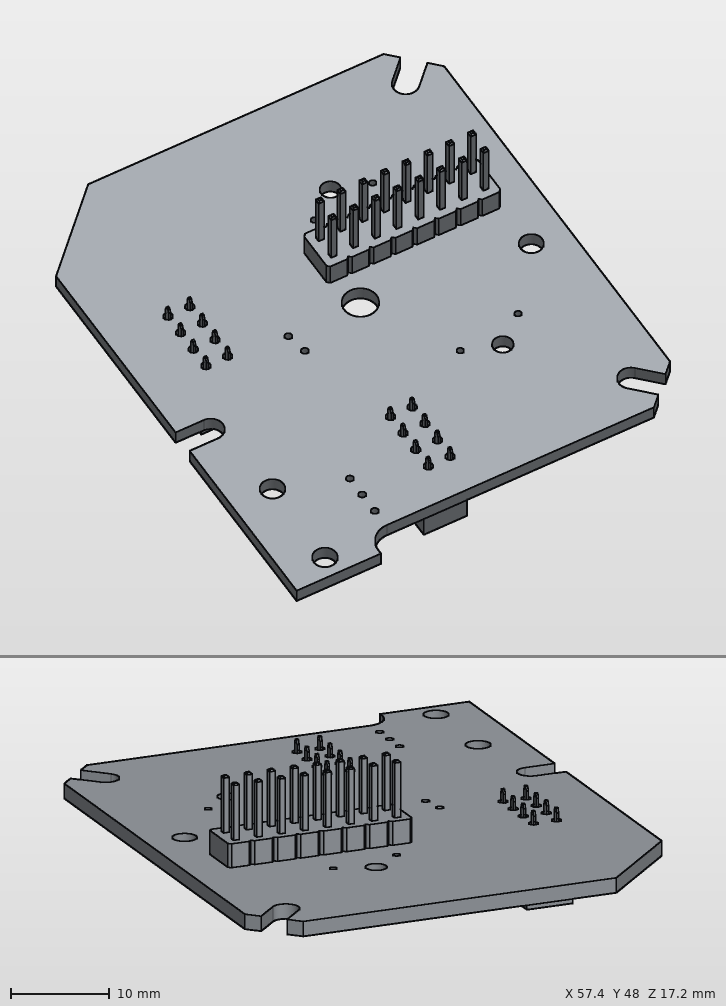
import cadquery as cq
import math

BOARD_WIDTH = 54.4
BOARD_DEPTH = 47.95
BOARD_THICKNESS = 1.6
TAB_REACH = 57.4
TAB_DEPTH = 9.85
TAB_CORNER_RADIUS = 2.4
FRONT_CHAMFER = 8.95
REAR_CHAMFER = 4.5

NOTCH_WIDTH = 2.8
FRONT_NOTCH_X = 34.4
FRONT_NOTCH_LENGTH = 4.7
CORNER_NOTCH_INSET_X = 4.55
CORNER_NOTCH_Y = 43.45

BOARD_HOLES = [
    (3.8, [(27.4, 24.85)]),
    (2.6, [(44.4, 4.7), (54.95, 4.7)]),
    (2.5, [(29.3, 43.7)]),
    (2.2, [(12.9, 29.8), (39.5, 34.5)]),
    (0.8, [(27.65, 16.3), (30.2, 16.75), (47.15, 12.15), (49.65, 12.15), (52.15, 12.15)]),
    (0.75, [(14.3, 33.9), (15.6, 26.35), (36.7, 37.85), (38.05, 30.35)]),
]
PIN_HOLE_DIAMETER = 1.0

HEADER_LENGTH = 20.3
HEADER_ROWS = 8
HEADER_COLUMNS = 2
PITCH = HEADER_LENGTH / HEADER_ROWS
HEADER_WIDTH = HEADER_COLUMNS * PITCH
HEADER_HEIGHT = PITCH
HEADER_CENTER = (21.1, 33.4)
HEADER_CHAMFER = 0.3
HEADER_PIN_SIDE = 0.65
HEADER_PIN_ABOVE = 8.55
HEADER_PIN_BELOW = 1.3
HEADER_PIN_CHAMFER = 0.2

SOCKET_COLUMNS = 4
SOCKET_ROWS = 2
SOCKET_LENGTH = SOCKET_COLUMNS * PITCH
SOCKET_WIDTH = SOCKET_ROWS * PITCH
SOCKET_HEIGHT = 7.05
SOCKET_CENTERS = [(23.05, 8.4), (45.9, 21.1)]
CHANNEL_WIDTH = 3.7
CHANNEL_DEPTH = 0.2
BLADE_WIDTH = 0.65
BLADE_THICKNESS = 0.25
BLADE_ABOVE = 1.3
BLADE_TIP_WIDTH = 0.3
BLADE_TIP_HEIGHT = 0.45


def grid_points(center, columns, rows):
    """Points of a rectangular grid with the common pitch, around a centre."""
    return [
        (center[0] + (i - (columns - 1) / 2) * PITCH, center[1] + (j - (rows - 1) / 2) * PITCH)
        for i in range(columns)
        for j in range(rows)
    ]


HEADER_PINS = grid_points(HEADER_CENTER, HEADER_COLUMNS, HEADER_ROWS)


def make_notch(end_point, length, angle):
    """Cutter for an open slot with a round end at end_point, running in the direction of angle."""
    notch = cq.Workplane("XY").circle(NOTCH_WIDTH / 2).extrude(BOARD_THICKNESS)
    channel = cq.Workplane("XY").rect(length, NOTCH_WIDTH).extrude(BOARD_THICKNESS)
    notch = notch.union(channel.translate((length / 2, 0, 0)))
    return notch.rotate((0, 0, 0), (0, 0, 1), angle).translate((*end_point, 0))


def make_board():
    arc_center = (BOARD_WIDTH + TAB_CORNER_RADIUS, TAB_DEPTH + TAB_CORNER_RADIUS)
    arc_offset = TAB_CORNER_RADIUS * math.sqrt(0.5)
    board = (
        cq.Workplane("XY")
        .moveTo(FRONT_CHAMFER, 0)
        .lineTo(TAB_REACH, 0)
        .lineTo(TAB_REACH, TAB_DEPTH)
        .lineTo(arc_center[0], TAB_DEPTH)
        .threePointArc(
            (arc_center[0] - arc_offset, arc_center[1] - arc_offset),
            (BOARD_WIDTH, arc_center[1]),
        )
        .lineTo(BOARD_WIDTH, BOARD_DEPTH - REAR_CHAMFER)
        .lineTo(BOARD_WIDTH - REAR_CHAMFER, BOARD_DEPTH)
        .lineTo(REAR_CHAMFER, BOARD_DEPTH)
        .lineTo(0, BOARD_DEPTH - REAR_CHAMFER)
        .lineTo(0, FRONT_CHAMFER)
        .close()
        .extrude(BOARD_THICKNESS)
    )

    front_end = (FRONT_NOTCH_X, FRONT_NOTCH_LENGTH - NOTCH_WIDTH / 2)
    left_end = (CORNER_NOTCH_INSET_X, CORNER_NOTCH_Y)
    right_end = (BOARD_WIDTH - CORNER_NOTCH_INSET_X, CORNER_NOTCH_Y)
    corner_length = 2 * CORNER_NOTCH_INSET_X
    board = board.cut(make_notch(front_end, FRONT_NOTCH_LENGTH, -90))
    board = board.cut(make_notch(left_end, corner_length, 135))
    board = board.cut(make_notch(right_end, corner_length, 45))

    pin_points = list(HEADER_PINS)
    for center in SOCKET_CENTERS:
        pin_points += grid_points(center, SOCKET_COLUMNS, SOCKET_ROWS)
    for diameter, points in BOARD_HOLES + [(PIN_HOLE_DIAMETER, pin_points)]:
        holes = cq.Workplane("XY").pushPoints(points).circle(diameter / 2).extrude(BOARD_THICKNESS)
        board = board.cut(holes)
    return board


def make_header():
    """Row of chamfered blocks on the board; their square pins also pass through the board."""
    block = cq.Workplane("XY").box(HEADER_WIDTH, PITCH, HEADER_HEIGHT, centered=(True, True, False))
    block = block.edges("|Z").chamfer(HEADER_CHAMFER)
    header = cq.Workplane("XY")
    for x, y in grid_points(HEADER_CENTER, 1, HEADER_ROWS):
        header = header.union(block.translate((x, y, BOARD_THICKNESS)))

    pin_length = HEADER_PIN_BELOW + BOARD_THICKNESS + HEADER_PIN_ABOVE
    pin = cq.Workplane("XY").box(HEADER_PIN_SIDE, HEADER_PIN_SIDE, pin_length, centered=(True, True, False))
    pin = pin.faces("<Z or >Z").chamfer(HEADER_PIN_CHAMFER)
    for x, y in HEADER_PINS:
        header = header.union(pin.translate((x, y, -HEADER_PIN_BELOW)))
    return header


def make_socket(center):
    """Block hanging under the board, with flat blades that stand up through the board."""
    block = cq.Workplane("XY").box(SOCKET_LENGTH, SOCKET_WIDTH, SOCKET_HEIGHT)
    channel = cq.Workplane("XY").box(SOCKET_LENGTH, CHANNEL_WIDTH, CHANNEL_DEPTH)
    block = block.translate((*center, -SOCKET_HEIGHT / 2))
    socket = block.cut(channel.translate((*center, -CHANNEL_DEPTH / 2)))

    tip = BOARD_THICKNESS + BLADE_ABOVE
    shoulder = tip - BLADE_TIP_HEIGHT
    blade = (
        cq.Workplane("XZ")
        .moveTo(-BLADE_WIDTH / 2, -CHANNEL_DEPTH)
        .lineTo(BLADE_WIDTH / 2, -CHANNEL_DEPTH)
        .lineTo(BLADE_WIDTH / 2, shoulder)
        .lineTo(BLADE_TIP_WIDTH / 2, tip)
        .lineTo(-BLADE_TIP_WIDTH / 2, tip)
        .lineTo(-BLADE_WIDTH / 2, shoulder)
        .close()
        .extrude(BLADE_THICKNESS / 2, both=True)
    )
    for x, y in grid_points(center, SOCKET_COLUMNS, SOCKET_ROWS):
        socket = socket.union(blade.translate((x, y, 0)))
    return socket


board = make_board()
header = make_header()
sockets = [make_socket(center) for center in SOCKET_CENTERS]

result = cq.Compound.makeCompound([board.val(), header.val(), *[socket.val() for socket in sockets]])